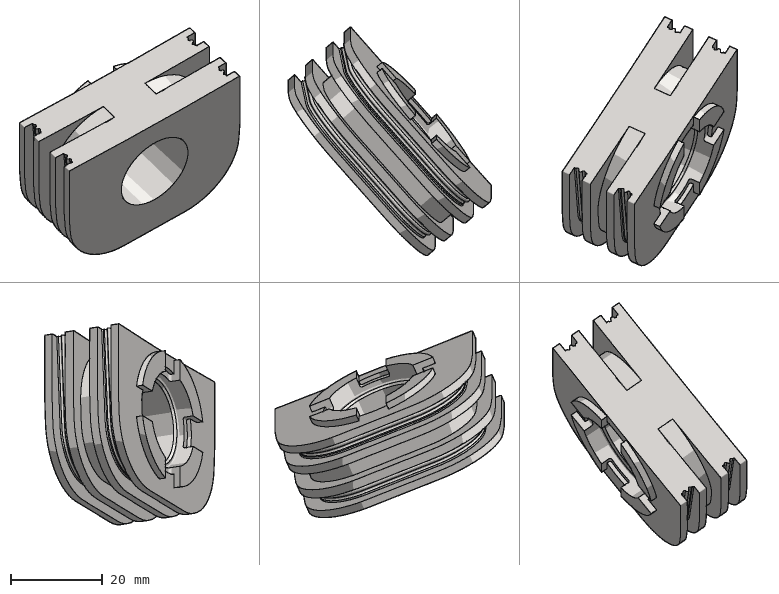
import cadquery as cq
import math

body_length = 18.0
half_width = 23.35
top_height = 15.37
bottom_depth = 18.5
top_sag = 0.35
top_edge_radius = 0.35

corner_radius = 14.75
flank_tilt = math.radians(3.6)
flank_tilt_start = 0.0

groove_layouts = [(1.8, 5.1, 3.4, 0.3), (13.05, 16.15, 14.63, 0)]
groove_depth = 3.5
groove_tilt = math.radians(4.6)
groove_overshoot = 1.4
groove_cut_height = 4.65
ledge_slope = math.radians(35)
bead_radius = 0.4
bead_height = 0.37
scallop_radius = 0.37
scallop_depth = 0.3
scallop_spacing = 0.75

slot_start = 7.0
slot_end = 11.0
core_shoulder_radius = 14.15

boss_height = 1.5
boss_radius = 15.0
boss_gap = 7.0
bore_radius = 9.1
bore_chamfer = 0.5
counterbore_radius = 10.45
counterbore_depth = 2.35
counterbore_fillet = 0.25
notch_radius = 12.0
notch_depth = 1.0
notch_fillet = 0.45

corner_center_z = corner_radius - bottom_depth
flank_end_z = corner_center_z - corner_radius * math.sin(flank_tilt)
flank_end_y = half_width - (flank_tilt_start - flank_end_z) * math.tan(flank_tilt)
corner_center_y = flank_end_y - corner_radius * math.cos(flank_tilt)


def corner_point(radius, angle, side):
    """Point on a circle about a lower corner centre, at an angle below horizontal."""
    y = corner_center_y + radius * math.cos(angle)
    z = corner_center_z - radius * math.sin(angle)
    return (side * y, z)


def lower_outline(sketch, radius, tilt):
    """Continue from the end of the +Y flank round the bottom to the end of the -Y flank."""
    middle = (math.pi / 2 + tilt) / 2
    return (
        sketch.threePointArc(corner_point(radius, middle, 1), corner_point(radius, math.pi / 2, 1))
        .lineTo(*corner_point(radius, math.pi / 2, -1))
        .threePointArc(corner_point(radius, middle, -1), corner_point(radius, tilt, -1))
    )


def body_prism(inset, start, end):
    """U-shaped block with its sides and bottom moved inwards by the inset."""
    side = half_width - inset
    radius = corner_radius - inset
    bend_z = flank_tilt_start - inset * math.tan(flank_tilt / 2)
    sketch = (
        cq.Workplane("YZ", origin=(start, 0, 0))
        .moveTo(-side, top_height)
        .threePointArc((0, top_height - top_sag), (side, top_height))
        .lineTo(side, bend_z)
        .lineTo(*corner_point(radius, flank_tilt, 1))
    )
    return lower_outline(sketch, radius, flank_tilt).lineTo(-side, bend_z).close().extrude(end - start)


def disc(radius, start, end):
    """Cylinder along the bore axis."""
    return cq.Workplane("YZ", origin=(start, 0, 0)).circle(radius).extrude(end - start)


def gap_cross(start, end):
    """Vertical and horizontal bars that separate the four bosses."""
    sheet = cq.Workplane("YZ", origin=(start, 0, 0))
    upright = sheet.rect(boss_gap, 2 * boss_radius).extrude(end - start)
    level = sheet.rect(2 * boss_radius, boss_gap).extrude(end - start)
    return upright, level


def slot_cutter():
    """Material outside the rounded core between the two groove bands."""
    core_half_width = half_width - groove_depth
    core_top = top_height - top_sag
    shoulder_z = core_top - core_shoulder_radius
    shoulder_y = core_half_width - core_shoulder_radius
    diagonal = core_shoulder_radius * math.sqrt(0.5)
    core = body_prism(groove_depth, slot_start, slot_end)
    for side in (-1, 1):
        corner = (
            cq.Workplane("YZ", origin=(slot_start, 0, 0))
            .moveTo(side * core_half_width, shoulder_z)
            .threePointArc(
                (side * (shoulder_y + diagonal), shoulder_z + diagonal),
                (side * shoulder_y, core_top),
            )
            .lineTo(side * shoulder_y, top_height)
            .lineTo(side * core_half_width, top_height)
            .close()
            .extrude(slot_end - slot_start)
        )
        core = core.cut(corner)
    return body_prism(0, slot_start, slot_end).cut(core)


def groove_cutter(start, end, center, ledge_width):
    """Groove whose floor has a central bead between two scallops, swept round the outline."""
    radius = corner_radius - groove_depth
    tilt = groove_tilt
    flank_end = corner_point(radius, tilt, 1)
    run = (top_height + groove_overshoot - flank_end[1]) / math.cos(tilt)
    path_start_y = flank_end[0] + run * math.sin(tilt)
    path_start_z = flank_end[1] + run * math.cos(tilt)
    path = cq.Workplane("YZ", origin=(center, 0, 0)).moveTo(path_start_y, path_start_z).lineTo(*flank_end)
    path = lower_outline(path, radius, tilt).lineTo(-path_start_y, path_start_z)

    section_plane = cq.Plane(
        origin=(center, path_start_y, path_start_z),
        xDir=(1, 0, 0),
        normal=(0, -math.sin(tilt), -math.cos(tilt)),
    )
    bead_center = bead_height - bead_radius
    scallop_center = scallop_radius - scallop_depth
    distance = math.hypot(scallop_spacing, scallop_center - bead_center)
    along = (distance**2 + bead_radius**2 - scallop_radius**2) / (2 * distance)
    across = math.sqrt(bead_radius**2 - along**2)
    unit_x = scallop_spacing / distance
    unit_h = (scallop_center - bead_center) / distance
    meet_x = along * unit_x + across * unit_h
    meet_h = bead_center + along * unit_h - across * unit_x
    edge_x = scallop_spacing + math.sqrt(scallop_radius**2 - scallop_center**2)
    section = (
        cq.Workplane(section_plane)
        .moveTo(start - center, -groove_cut_height)
        .lineTo(start - center, 0)
        .lineTo(-edge_x, 0)
        .threePointArc((-scallop_spacing, scallop_depth), (-meet_x, -meet_h))
        .threePointArc((0, -bead_height), (meet_x, -meet_h))
        .threePointArc((scallop_spacing, scallop_depth), (edge_x, 0))
        .lineTo(end - ledge_width - center, 0)
    )
    if ledge_width > 0:
        section = section.lineTo(end - center, -ledge_width * math.tan(ledge_slope))
    section = section.lineTo(end - center, -groove_cut_height).close()
    return section.sweep(path)


def bosses():
    """Four quarter-ring bosses on the body face."""
    ring = disc(boss_radius, -boss_height, 0)
    for bar in gap_cross(-boss_height, 0):
        ring = ring.cut(bar)
    return ring


def notches():
    """Shallow recesses in the gaps between the bosses, with rounded floor edges."""
    recesses = []
    for bar, edge_direction in zip(gap_cross(0, notch_depth), ("|Z", "|Y")):
        rounded = bar.faces(">X").edges(edge_direction).fillet(notch_fillet)
        recesses.append(rounded.intersect(disc(notch_radius, 0, notch_depth)))
    return recesses


def bore_cutter():
    """Through bore with a chamfered mouth at the bottom of a filleted counterbore."""
    counterbore = disc(counterbore_radius, -boss_height, counterbore_depth)
    counterbore = counterbore.faces(">X").edges().fillet(counterbore_fillet)
    bore = disc(bore_radius, counterbore_depth, body_length)
    mouth = (
        cq.Workplane("YZ", origin=(counterbore_depth, 0, 0))
        .circle(bore_radius + bore_chamfer)
        .workplane(offset=bore_chamfer)
        .circle(bore_radius)
        .loft()
    )
    return counterbore.union(bore).union(mouth)


body = body_prism(0, 0, body_length)
body = body.edges("|X").edges(">Z").fillet(top_edge_radius)
body = body.cut(slot_cutter())
for groove_layout in groove_layouts:
    body = body.cut(groove_cutter(*groove_layout))

body = body.union(bosses())
for notch in notches():
    body = body.cut(notch)
result = body.cut(bore_cutter())